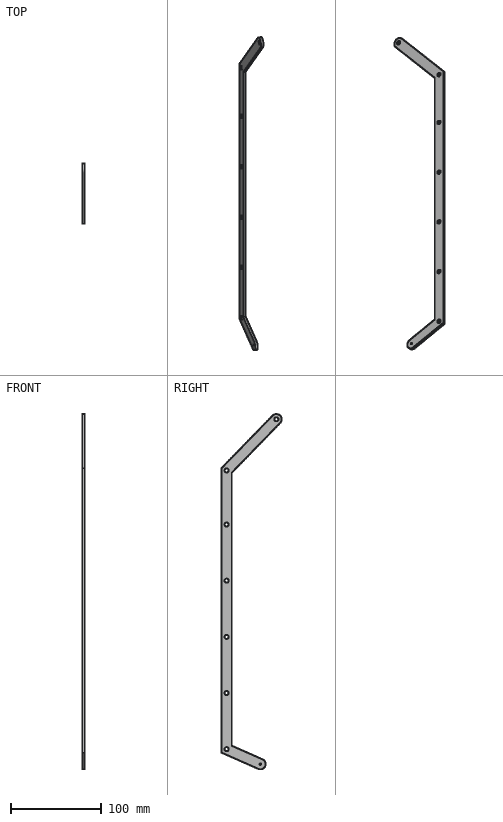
import cadquery as cq
import math

thickness = 3.0
width = 12.0
height = 394.0
depth = 67.0
half_width = width / 2

upper_tip = (depth - half_width, height - half_width)
upper_bend = (half_width, 331.5)
lower_bend = (half_width, 22.5)
lower_tip = (43.5, half_width)

hole_diameter = 4.5
small_hole_diameter = 1.5
spine_hole_pitch = 62.3
spine_hole_count = 4


def offset_point(point, direction, side):
    """Move a point half a width sideways from an arm's direction."""
    y, z = point
    dy, dz = direction
    return (y - side * half_width * dz, z + side * half_width * dy)


def arm_direction(bend, tip):
    """Unit vector along an arm, from its bend to its tip."""
    dy = tip[0] - bend[0]
    dz = tip[1] - bend[1]
    length = math.hypot(dy, dz)
    return (dy / length, dz / length)


def mitre_shift(direction):
    """Z distance from a bend's centre to its outer and inner corners."""
    dy, dz = direction
    return half_width * (1 - abs(dz)) / dy


def tip_end(tip, direction):
    """Outermost point of an arm's rounded tip."""
    return (tip[0] + half_width * direction[0], tip[1] + half_width * direction[1])


def drill(points, diameter):
    """Cylinders that cut round holes through the strip."""
    return cq.Workplane("YZ").pushPoints(points).circle(diameter / 2).extrude(thickness)


upper_direction = arm_direction(upper_bend, upper_tip)
lower_direction = arm_direction(lower_bend, lower_tip)
upper_shift = mitre_shift(upper_direction)
lower_shift = mitre_shift(lower_direction)

strip = (
    cq.Workplane("YZ")
    .moveTo(0, lower_bend[1] - lower_shift)
    .lineTo(0, upper_bend[1] + upper_shift)
    .lineTo(*offset_point(upper_tip, upper_direction, 1))
    .threePointArc(
        tip_end(upper_tip, upper_direction),
        offset_point(upper_tip, upper_direction, -1),
    )
    .lineTo(width, upper_bend[1] - upper_shift)
    .lineTo(width, lower_bend[1] + lower_shift)
    .lineTo(*offset_point(lower_tip, lower_direction, 1))
    .threePointArc(
        tip_end(lower_tip, lower_direction),
        offset_point(lower_tip, lower_direction, -1),
    )
    .close()
    .extrude(thickness)
)

spine_holes = [
    (half_width, lower_bend[1] + i * spine_hole_pitch)
    for i in range(1, spine_hole_count + 1)
]
large_holes = [upper_tip, upper_bend, lower_bend] + spine_holes

result = strip.cut(drill(large_holes, hole_diameter))
result = result.cut(drill([lower_tip], small_hole_diameter))